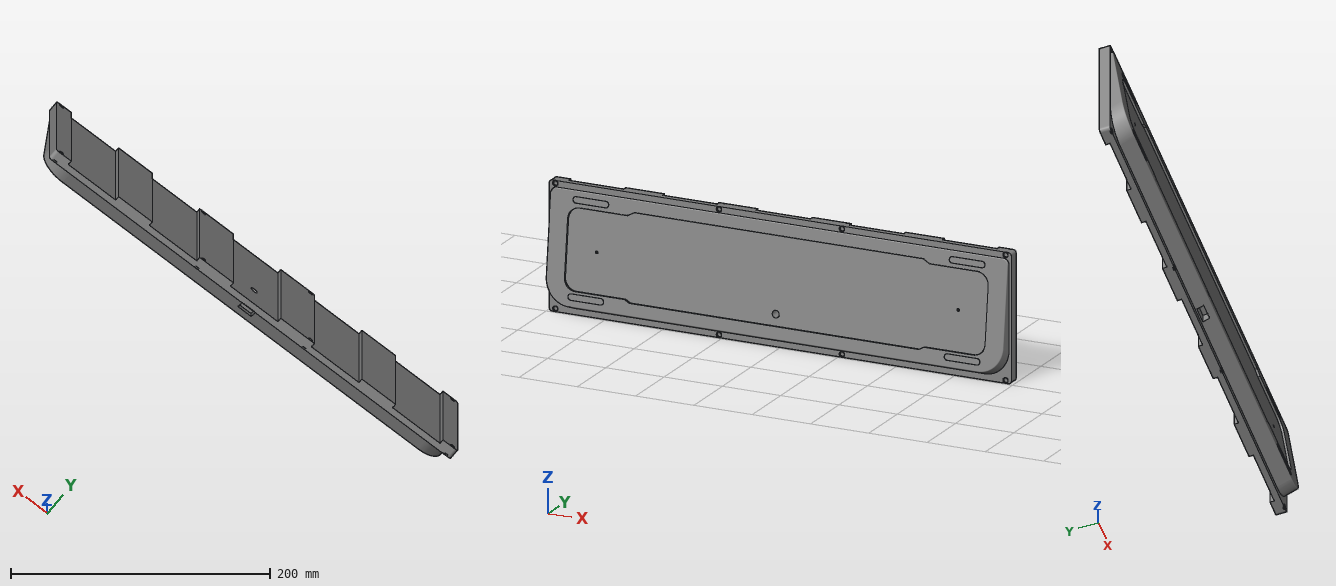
import cadquery as cq
import math

length = 396.5
height = 107.0
depth = 21.0
plate_depth = 8.7
plate_corner_radius = 2.8

wedge_half_length = 196.3
wedge_top_z = 48.5
wedge_bottom_z = -48.5
wedge_tip_z = -43.2
wedge_top_rise = 1.5
wedge_lower_radius = 20.5
wedge_upper_radius = 4.8
wedge_edge_radius = 0.8

recess_depth = 2.0
recess_half_length = 180.5
recess_end_top_z = 35.3
recess_end_bottom_z = -30.5
recess_corner_radius = 10.0
recess_middle_top_z = 38.5
recess_middle_bottom_z = -33.0
recess_middle_half_length = 124.0
recess_step_angle = math.radians(30)

foot_length = 30.5
foot_width = 5.0
foot_depth = 0.5
foot_x = 161.5
foot_top_z = 41.2
foot_bottom_z = -35.3

screw_diameter = 3.7
screw_head_diameter = 4.5
screw_head_depth = 1.0
screw_edge_gap = 2.5
screw_outer_x = 193.0
screw_inner_x = 52.7
centre_hole_diameter = 6.0
centre_hole_z = -23.8
pin_hole_diameter = 2.05
pin_hole_depth = 2.0
pin_hole_x = 155.0
pin_hole_z = 2.5

port_length = 13.0
port_width = 5.5
port_gap = 1.0
port_depth = 4.0

notch_count = 5
notch_pitch = 80.0
notch_length = 46.8
notch_depth = 3.5

front_y = -depth / 2
rear_y = depth / 2
plate_front_y = rear_y - plate_depth
wedge_top_y = plate_front_y - wedge_top_rise
face_slope = (wedge_top_y - front_y) / (wedge_top_z - wedge_tip_z)
face_tilt = math.atan(face_slope)
face_normal = cq.Vector(0, -math.cos(face_tilt), math.sin(face_tilt))
face_middle_y = wedge_top_y - face_slope * wedge_top_z


def face_plane():
    """Plane on the sloping face, normal outward, origin level with Z = 0."""
    return cq.Workplane(cq.Plane(origin=(0, face_middle_y, 0), xDir=(1, 0, 0), normal=face_normal))


def along_face(z):
    """Distance up the sloping face that reaches height z."""
    return z / math.cos(face_tilt)


def make_plate():
    plate = cq.Workplane("XY").box(length, plate_depth, height)
    plate = plate.translate((0, rear_y - plate_depth / 2, 0))
    return plate.edges("|Y").fillet(plate_corner_radius)


def make_wedge():
    profile = [
        (plate_front_y, wedge_top_z),
        (wedge_top_y, wedge_top_z),
        (front_y, wedge_tip_z),
        (plate_front_y, wedge_bottom_z),
    ]
    wedge = cq.Workplane("YZ").polyline(profile).close().extrude(wedge_half_length, both=True)
    wedge = wedge.edges("|Y").fillet(wedge_upper_radius)
    underside_middle_y = (plate_front_y + front_y) / 2
    underside_middle_z = (wedge_bottom_z + wedge_tip_z) / 2
    for end_x in (-wedge_half_length, wedge_half_length):
        corner = (end_x, underside_middle_y, underside_middle_z)
        wedge = wedge.edges(cq.selectors.NearestToPointSelector(corner)).fillet(wedge_lower_radius)
    sloping_face = cq.selectors.DirectionMinMaxSelector(face_normal, True)
    return wedge.faces(sloping_face).edges().fillet(wedge_edge_radius)


def make_panel_recess():
    top = along_face(recess_end_top_z)
    bottom = along_face(recess_end_bottom_z)
    ends = (
        face_plane()
        .center(0, (top + bottom) / 2)
        .rect(2 * recess_half_length, top - bottom)
        .extrude(-recess_depth)
    )
    ends = ends.edges(cq.selectors.ParallelDirSelector(face_normal)).fillet(recess_corner_radius)
    middle_top = along_face(recess_middle_top_z)
    middle_bottom = along_face(recess_middle_bottom_z)
    top_step_x = recess_middle_half_length + (middle_top - top) / math.tan(recess_step_angle)
    bottom_step_x = recess_middle_half_length + (bottom - middle_bottom) / math.tan(recess_step_angle)
    middle = [
        (-top_step_x, top),
        (-recess_middle_half_length, middle_top),
        (recess_middle_half_length, middle_top),
        (top_step_x, top),
        (bottom_step_x, bottom),
        (recess_middle_half_length, middle_bottom),
        (-recess_middle_half_length, middle_bottom),
        (-bottom_step_x, bottom),
    ]
    return ends.union(face_plane().polyline(middle).close().extrude(-recess_depth))


def make_foot_recesses():
    spots = [(x, along_face(z)) for x in (-foot_x, foot_x) for z in (foot_top_z, foot_bottom_z)]
    return face_plane().pushPoints(spots).slot2D(foot_length, foot_width).extrude(-foot_depth)


def make_screw_holes():
    spots = [
        (x, z)
        for x in (-screw_outer_x, -screw_inner_x, screw_inner_x, screw_outer_x)
        for z in (height / 2 - screw_edge_gap, screw_edge_gap - height / 2)
    ]
    front = cq.Workplane("XZ", origin=(0, plate_front_y, 0)).pushPoints(spots)
    shanks = front.circle(screw_diameter / 2).extrude(-plate_depth)
    heads = front.circle(screw_head_diameter / 2).extrude(-screw_head_depth)
    return shanks.union(heads)


def make_centre_hole():
    front = cq.Workplane("XZ", origin=(0, front_y, centre_hole_z))
    return front.circle(centre_hole_diameter / 2).extrude(-depth)


def make_pin_holes():
    spots = [(-pin_hole_x, along_face(pin_hole_z)), (pin_hole_x, along_face(pin_hole_z))]
    pins = face_plane().pushPoints(spots).circle(pin_hole_diameter / 2)
    return pins.extrude(-recess_depth - pin_hole_depth)


def make_port():
    port_height = port_depth + wedge_tip_z - wedge_bottom_z
    port = cq.Workplane("XY").box(port_length, port_width, port_height)
    port_y = plate_front_y - port_gap - port_width / 2
    return port.translate((0, port_y, wedge_bottom_z + port_height / 2))


def make_notches():
    notch = cq.Workplane("XY").rarray(notch_pitch, 4, notch_count, 1)
    notch = notch.rect(notch_length, 2 * notch_depth).extrude(height / 2, both=True)
    return notch.translate((0, rear_y, 0))


result = make_plate().union(make_wedge())
for cutter in (
    make_panel_recess(),
    make_foot_recesses(),
    make_screw_holes(),
    make_centre_hole(),
    make_pin_holes(),
    make_port(),
    make_notches(),
):
    result = result.cut(cutter)